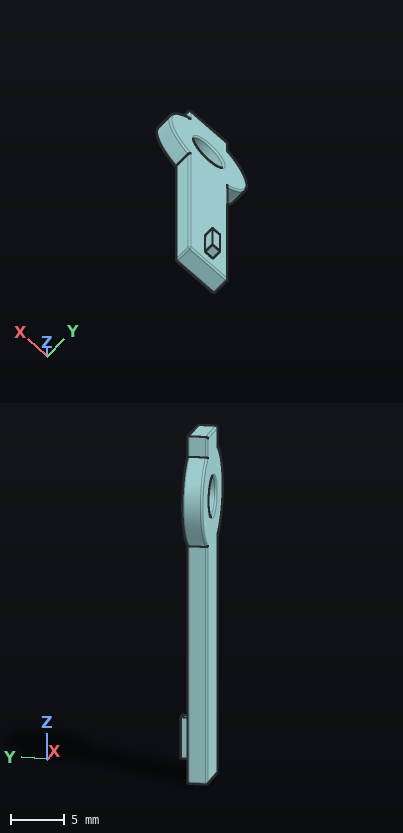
import cadquery as cq
import math

total_height = 33.65
thickness = 2.0
bar_width = 5.0
ring_diameter = 10.0
hole_diameter = 3.8
tip_height = 2.0
edge_radius = 0.2

key_width = 1.0
key_depth = 1.0
key_height = 4.0
key_bottom = 2.0

neck_rise = math.sqrt((ring_diameter / 2) ** 2 - (bar_width / 2) ** 2)
ring_center_z = total_height - tip_height - neck_rise


def plate():
    """Bar and ring with a round hole, from the front face at y = 0 to y = thickness."""
    bar = cq.Workplane("XY").box(
        bar_width, thickness, total_height, centered=(True, False, False)
    )
    ring_plane = cq.Workplane("XZ", origin=(0, 0, ring_center_z))
    ring = ring_plane.circle(ring_diameter / 2).extrude(-thickness)
    hole = ring_plane.circle(hole_diameter / 2).extrude(-thickness)
    return bar.union(ring).cut(hole)


def key():
    """Small rectangular block standing on the back face."""
    return cq.Workplane("XY", origin=(0, thickness, key_bottom)).box(
        key_width, key_depth, key_height, centered=(True, False, False)
    )


def rounded_plate():
    """Plate with rounded face edges and end corners; the upper left corner stays square."""
    sharp_plate = plate()
    face_edges = sharp_plate.faces("<Y or >Y").edges()
    lower_corners = sharp_plate.faces("<Z").edges("|Y")
    upper_right_corner = sharp_plate.faces(">Z").edges("|Y").edges(">X")
    return face_edges.add(lower_corners).add(upper_right_corner).fillet(edge_radius)


result = rounded_plate().union(key())